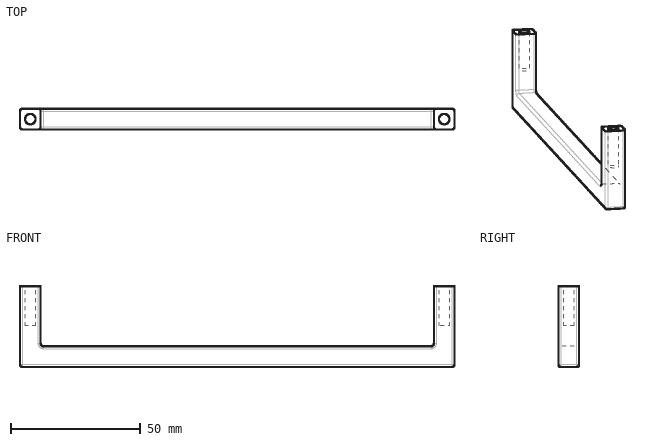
import cadquery as cq

length = 168.0
height = 31.2
bar = 8.0

edge_radius = 1.0
hole_diameter = 4.0
hole_depth = 15.1

leg_spacing = length - bar


def handle_body():
    """U-shaped square bar with every edge rounded except the flat leg ends."""
    blank = cq.Workplane("XY").box(length, bar, height, centered=(True, True, False))
    opening = (
        cq.Workplane("XY", origin=(0, 0, bar))
        .box(length - 2 * bar, bar, height, centered=(True, True, False))
    )
    return blank.cut(opening).edges("not(>Z)").fillet(edge_radius)


def mounting_holes():
    """Blind holes running down from the ends of both legs."""
    return (
        cq.Workplane("XY", origin=(0, 0, height))
        .pushPoints([(side * leg_spacing / 2, 0) for side in (-1, 1)])
        .circle(hole_diameter / 2)
        .extrude(-hole_depth)
    )


result = handle_body().cut(mounting_holes())